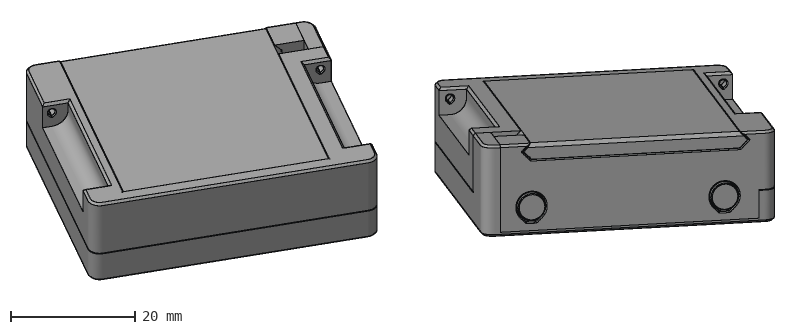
import cadquery as cq
import math

CASE_X = 40.6
CASE_Y = 48.35
CASE_Z = 15.3
CORNER_RADIUS = 1.95
EDGE_CHAMFER = 0.4
LEFT = -CASE_X / 2
REACH = 2 * CASE_Y

PARTING_Z = 5.35
PARTING_GAP = 0.15
FLOOR_Z = 0.73
COLUMN_RIGHT = -12.35
COLUMN_Y = 21.3

TROUGH_LENGTH = 24.2
TROUGH_X = 3.25
TROUGH_RADIUS = 2.7
TROUGH_INSET_FRONT = 1.55
TROUGH_INSET_BACK = 1.85
TROUGH_AXIS_DEPTH = 1.85
RIM_CHAMFER = 0.45
SOCKET_DIAMETER = 1.15
SOCKET_DROP = 0.75
SOCKET_FLARE = 0.2
SOCKET_DEPTH = 1.95

LID_Y = -0.95
LID_WIDTH = 34.35
LID_RIGHT = 18.0
LID_LIP = 1.25
LID_TIP_DEPTH = 1.3
LID_THICKNESS = 2.6
LID_CLEARANCE = 0.1
SLOT_FLARE = 0.2
LID_CHAMFER = 0.65

POCKET_LEFT = -14.85
POCKET_DEPTH = 3.15
SLIT_BACK = 17.95

BUTTON_DIAMETER = 4.5
BUTTON_PROTRUSION = 0.4
BUTTON_CHAMFER = 0.15
BUTTON_Z = 4.75
BUTTON_Y = 0.3
BUTTON_PITCH = 31.75
BUTTON_RECESS_DEPTH = 0.95
BUTTON_HOLE_DIAMETER = 4.8
BUTTON_HOLE_DROP = 2.6
BUTTON_HOLE_FLARE = 0.2


def box(x_min, x_max, y_min, y_max, z_min, z_max):
    size = (x_max - x_min, y_max - y_min, z_max - z_min)
    return cq.Workplane("XY").box(*size, centered=False).translate((x_min, y_min, z_min))


def case_block():
    block = cq.Workplane("XY").box(CASE_X, CASE_Y, CASE_Z, centered=(True, True, False))
    return block.edges("|Z").fillet(CORNER_RADIUS).faces("<Z or >Z").chamfer(EDGE_CHAMFER)


def column_zone():
    return box(-REACH, COLUMN_RIGHT, COLUMN_Y, REACH, PARTING_Z, REACH)


def skirt_zone():
    return box(-REACH, COLUMN_RIGHT, -COLUMN_Y, COLUMN_Y, FLOOR_Z, REACH)


def lid_profile():
    half_width = LID_WIDTH / 2
    half_tip = half_width + LID_LIP
    tip_z = CASE_Z - LID_TIP_DEPTH
    bottom = CASE_Z - LID_THICKNESS
    half_profile = [(half_width, CASE_Z), (half_tip, tip_z), (half_width, bottom)]
    mirrored_half = [(-y, z) for y, z in reversed(half_profile)]
    return cq.Workplane("YZ", origin=(LEFT, LID_Y, 0)).polyline(half_profile + mirrored_half).close()


def make_slot():
    """Lid slot running in from the -X face, with a chamfered mouth."""
    slot = lid_profile().offset2D(LID_CLEARANCE, "intersection").extrude(LID_RIGHT - LEFT)
    mouth = lid_profile().offset2D(LID_CLEARANCE + SLOT_FLARE, "intersection").extrude(SLOT_FLARE, taper=45)
    return slot.union(mouth)


def teardrop(radius, drop):
    """Outline facing +X: a circle whose 45 degree tangents run down to a flat foot."""
    tangent = radius * math.sqrt(0.5)
    half_foot = 2 * tangent - drop
    return (
        cq.Workplane("YZ")
        .moveTo(half_foot, -drop)
        .lineTo(tangent, -tangent)
        .threePointArc((0, radius), (-tangent, -tangent))
        .lineTo(-half_foot, -drop)
        .close()
    )


def flared_hole(diameter, drop, depth, flare):
    """Teardrop hole running in +X from the origin, with a chamfered mouth."""
    radius = diameter / 2
    hole = teardrop(radius, drop).extrude(depth)
    mouth = teardrop(radius + flare, drop + flare).extrude(flare, taper=45)
    return hole.union(mouth)


def trough_cut(axis_inset):
    axis_y = -CASE_Y / 2 + axis_inset
    axis_z = CASE_Z - TROUGH_AXIS_DEPTH
    wall_y = axis_y + TROUGH_RADIUS
    slant = TROUGH_RADIUS * math.sqrt(0.5)
    cut = (
        cq.Workplane("YZ")
        .moveTo(-CASE_Y, CASE_Z)
        .lineTo(-CASE_Y, axis_z - TROUGH_RADIUS)
        .lineTo(axis_y, axis_z - TROUGH_RADIUS)
        .threePointArc((axis_y + slant, axis_z - slant), (wall_y, axis_z))
        .lineTo(wall_y, CASE_Z)
        .close()
        .extrude(TROUGH_LENGTH / 2, both=True)
    )
    rim_y = wall_y + RIM_CHAMFER
    rim = (
        cq.Workplane("XY", origin=(0, rim_y - CASE_Y / 2, CASE_Z))
        .rect(TROUGH_LENGTH + 2 * RIM_CHAMFER, CASE_Y)
        .extrude(-RIM_CHAMFER, taper=45)
    )
    socket = flared_hole(SOCKET_DIAMETER, SOCKET_DROP, SOCKET_DEPTH, SOCKET_FLARE)
    right_socket = socket.translate((TROUGH_LENGTH / 2, axis_y, axis_z))
    sockets = right_socket.union(right_socket.mirror("YZ"))
    return cut.union(rim).union(sockets).translate((TROUGH_X, 0, 0))


def button_places():
    return [(LEFT, BUTTON_Y + side * BUTTON_PITCH / 2, BUTTON_Z) for side in (-1, 1)]


def make_button():
    length = BUTTON_PROTRUSION + BUTTON_RECESS_DEPTH
    button = cq.Workplane("YZ").circle(BUTTON_DIAMETER / 2).extrude(length)
    return button.faces("<X").chamfer(BUTTON_CHAMFER).translate((-BUTTON_PROTRUSION, 0, 0))


lid_side = LID_Y + LID_WIDTH / 2
slit = box(POCKET_LEFT, COLUMN_RIGHT, lid_side, SLIT_BACK, -REACH, REACH)


def make_base():
    lower = case_block().intersect(box(-REACH, REACH, -REACH, REACH, 0, PARTING_Z))
    column = case_block().intersect(column_zone())
    return lower.cut(skirt_zone()).union(column).cut(slit)


def make_housing():
    upper = case_block().intersect(box(-REACH, REACH, -REACH, REACH, PARTING_Z + PARTING_GAP, REACH))
    skirt = case_block().intersect(skirt_zone())
    housing = upper.cut(column_zone()).union(skirt).cut(make_slot()).cut(slit)
    pocket = box(POCKET_LEFT, COLUMN_RIGHT, lid_side, COLUMN_Y, CASE_Z - POCKET_DEPTH, REACH)
    housing = housing.cut(pocket)
    housing = housing.cut(trough_cut(TROUGH_INSET_FRONT))
    housing = housing.cut(trough_cut(TROUGH_INSET_BACK).mirror("XZ"))
    recess = flared_hole(BUTTON_HOLE_DIAMETER, BUTTON_HOLE_DROP, BUTTON_RECESS_DEPTH, BUTTON_HOLE_FLARE)
    for place in button_places():
        housing = housing.cut(recess.translate(place))
    return housing


def make_lid():
    lid = lid_profile().extrude(LID_RIGHT - LEFT)
    return lid.faces(">Z").edges("<X").chamfer(LID_CHAMFER)


base = make_base()
housing = make_housing()
lid = make_lid()
buttons = [make_button().translate(place) for place in button_places()]
result = cq.Compound.makeCompound([base.val(), housing.val(), lid.val(), *[b.val() for b in buttons]])